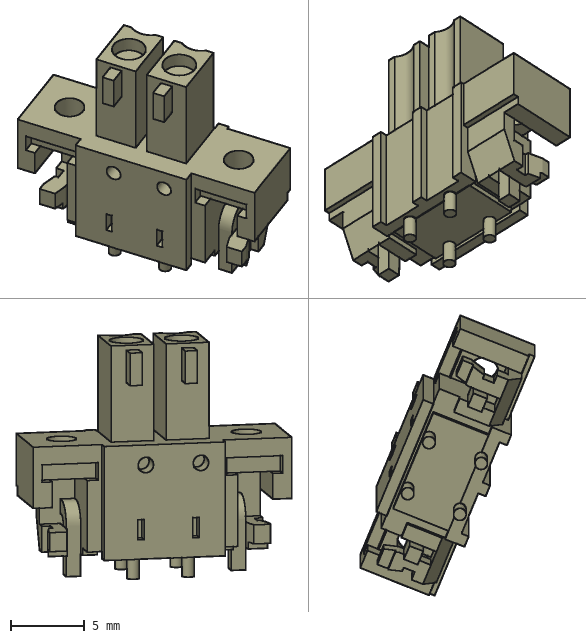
import cadquery as cq
import math


POLE_PITCH = 3.82
POLE_XS = (-POLE_PITCH / 2, POLE_PITCH / 2)

HOUSING_TOP = 7.85
CORE_HALF_WIDTH = 4.2
CORE_FRONT = -3.51
CORE_BACK = 2.94
FLANGE_HALF_LENGTH = 8.96
FLANGE_FRONT = -2.75
FLANGE_BACK = 2.7
FLANGE_UNDERSIDE = 3.64

RECESS_TOP = 0.48
PAD_UNDERSIDE = 0.05
PAD_FRONT = -2.53
PAD_BACK = 1.52
PAD_HALF_WIDTH = 3.58

TOWER_TOP = 14.46
TOWER_WIDTH = 2.97
TOWER_FRONT = -1.95
TOWER_BACK = 2.22
BORE_DIAMETER = 2.3
BORE_DEPTH = 1.0
GROOVE_RADIUS = 1.45
GROOVE_DEPTH = 0.32
LUG_WIDTH = 0.85
LUG_LENGTH = 1.2
LUG_TOP = 14.14
LUG_HEIGHT = 2.24

BACK_SLOT_WIDTH = 3.01
BACK_SLOT_FLOOR = 2.4
PROBE_DIAMETER = 1.05
PROBE_DEPTH = 1.43
PROBE_Z = 6.47
PROBE_OFFSET = 0.6
WINDOW_WIDTH = 0.43
WINDOW_BOTTOM = 1.35
WINDOW_HEIGHT = 1.38
WINDOW_DEPTH = FLANGE_FRONT - CORE_FRONT
WINDOW_OFFSET = 0.25

BACK_STEP_Y = 2.3
BACK_STEP_Z = 4.26
SLOPE_TOP = 2.19
CAVITY_BACK = 1.3
CAVITY_INNER = 5.21
CAVITY_OUTER = 7.65
NUT_SLOT_INNER = 4.46
NUT_SLOT_OUTER = 8.33
NUT_SLOT_BOTTOM = 5.41
NUT_SLOT_HEIGHT = 1.2
NUT_SLOT_DEPTH = 0.82
SCREW_X = (NUT_SLOT_INNER + NUT_SLOT_OUTER) / 2
SCREW_HOLE_DIAMETER = 2.0

CLIP_SIZE = 1.0
CLIP_TOP = 3.48
CLIP_LEG_FRONT = -0.66
CLIP_BEND_RADIUS = 1.5
CLIP_INNER_X = CAVITY_INNER
CLIP_OUTER_X = CLIP_INNER_X + CLIP_SIZE

GUIDE_TOP = 1.8
GUIDE_DENT_X = 7.08
GUIDE_DENT_BACK = 0.48
GUIDE_DENT_FRONT = -0.32
GUIDE_STEP_X = 7.35
GUIDE_TIP_BACK = -1.42
GUIDE_TIP_FRONT = -2.02
GUIDE_TIP_INNER = 6.49
GUIDE_BEND_Y = -1.04
GUIDE_CUT_Y = -1.25

PIN_DIAMETER = 0.85
PIN_END = -1.55
PIN_YS = (-2.15, 1.67)


def box(x_range, y_range, z_range):
    """Box between two limits on each axis, given in either order."""
    sides = [abs(b - a) for a, b in (x_range, y_range, z_range)]
    corner = [min(pair) for pair in (x_range, y_range, z_range)]
    return cq.Workplane("XY").box(*sides, centered=False).translate(tuple(corner))


def front_hole(x, z, diameter, depth):
    """Round cutter going straight back from the front face of the core."""
    circle = cq.Workplane("XZ", origin=(x, CORE_FRONT, z)).circle(diameter / 2)
    return circle.extrude(-depth)


def make_core():
    """Middle block, with a raised underside around the pad that carries the pins."""
    x_range = (-CORE_HALF_WIDTH, CORE_HALF_WIDTH)
    core = box(x_range, (CORE_FRONT, CORE_BACK), (0, HOUSING_TOP))
    core = core.cut(box(x_range, (FLANGE_FRONT, PAD_BACK), (0, RECESS_TOP)))
    pad_x = (-PAD_HALF_WIDTH, PAD_HALF_WIDTH)
    return core.union(box(pad_x, (PAD_FRONT, PAD_BACK), (PAD_UNDERSIDE, RECESS_TOP)))


def cut_pole_openings(core, x):
    """Back slot, probe hole and window belonging to one pole."""
    slot_x = (x - BACK_SLOT_WIDTH / 2, x + BACK_SLOT_WIDTH / 2)
    core = core.cut(box(slot_x, (BACK_SLOT_FLOOR, CORE_BACK), (0, HOUSING_TOP)))
    core = core.cut(front_hole(x + PROBE_OFFSET, PROBE_Z, PROBE_DIAMETER, PROBE_DEPTH))
    window_mid = x + WINDOW_OFFSET
    window = box(
        (window_mid - WINDOW_WIDTH / 2, window_mid + WINDOW_WIDTH / 2),
        (CORE_FRONT, CORE_FRONT + WINDOW_DEPTH),
        (WINDOW_BOTTOM, WINDOW_BOTTOM + WINDOW_HEIGHT),
    )
    return core.cut(window)


def make_tower(x):
    """Tower with a blind bore on top, a shallow groove down its back and a front lug."""
    tower_x = (x - TOWER_WIDTH / 2, x + TOWER_WIDTH / 2)
    tower = box(tower_x, (TOWER_FRONT, TOWER_BACK), (HOUSING_TOP, TOWER_TOP))
    bore = cq.Workplane("XY", origin=(x, 0, TOWER_TOP)).circle(BORE_DIAMETER / 2)
    tower = tower.cut(bore.extrude(-BORE_DEPTH))
    groove_y = TOWER_BACK - GROOVE_DEPTH + GROOVE_RADIUS
    groove = cq.Workplane("XY", origin=(x, groove_y, HOUSING_TOP)).circle(GROOVE_RADIUS)
    tower = tower.cut(groove.extrude(TOWER_TOP - HOUSING_TOP))
    lug_x = (x - LUG_WIDTH / 2, x + LUG_WIDTH / 2)
    lug_y = (TOWER_FRONT - LUG_LENGTH, TOWER_FRONT)
    return tower.union(box(lug_x, lug_y, (LUG_TOP - LUG_HEIGHT, LUG_TOP)))


def make_guide():
    """Cranked wall on the outer side of the clip, cut back under its tip."""
    outline = [
        (CAVITY_OUTER, CAVITY_BACK),
        (CAVITY_OUTER, GUIDE_DENT_BACK),
        (GUIDE_DENT_X, GUIDE_DENT_BACK),
        (GUIDE_DENT_X, GUIDE_DENT_FRONT),
        (GUIDE_STEP_X, GUIDE_DENT_FRONT),
        (CAVITY_OUTER, GUIDE_TIP_BACK),
        (CAVITY_OUTER, GUIDE_TIP_FRONT),
        (GUIDE_TIP_INNER, GUIDE_TIP_FRONT),
        (CLIP_OUTER_X, GUIDE_BEND_Y),
        (CLIP_OUTER_X, CAVITY_BACK),
    ]
    return cq.Workplane("XY").polyline(outline).close().extrude(GUIDE_TOP)


def make_flange():
    """Flange on the +X side: screw hole, nut slot, clip cavity and guide."""
    profile = [
        (FLANGE_FRONT, 0),
        (FLANGE_FRONT, HOUSING_TOP),
        (FLANGE_BACK, HOUSING_TOP),
        (FLANGE_BACK, BACK_STEP_Z),
        (BACK_STEP_Y, BACK_STEP_Z),
        (BACK_STEP_Y, SLOPE_TOP),
        (CAVITY_BACK, 0),
    ]
    side = cq.Workplane("YZ", origin=(CORE_HALF_WIDTH, 0, 0)).polyline(profile).close()
    flange = side.extrude(FLANGE_HALF_LENGTH - CORE_HALF_WIDTH)

    overhang_x = (CAVITY_OUTER, FLANGE_HALF_LENGTH)
    flange = flange.cut(box(overhang_x, (FLANGE_FRONT, FLANGE_BACK), (0, FLANGE_UNDERSIDE)))

    cavity_x = (CAVITY_INNER, CAVITY_OUTER)
    flange = flange.cut(box(cavity_x, (FLANGE_FRONT, CAVITY_BACK), (0, NUT_SLOT_BOTTOM)))

    nut_slot = box(
        (NUT_SLOT_INNER, NUT_SLOT_OUTER),
        (FLANGE_FRONT, FLANGE_FRONT + NUT_SLOT_DEPTH),
        (NUT_SLOT_BOTTOM, NUT_SLOT_BOTTOM + NUT_SLOT_HEIGHT),
    )
    flange = flange.cut(nut_slot)

    screw_hole = cq.Workplane("XY", origin=(SCREW_X, 0, NUT_SLOT_BOTTOM))
    screw_hole = screw_hole.circle(SCREW_HOLE_DIAMETER / 2)
    flange = flange.cut(screw_hole.extrude(HOUSING_TOP - NUT_SLOT_BOTTOM))

    flange = flange.union(make_guide())
    undercut_x = (CORE_HALF_WIDTH, FLANGE_HALF_LENGTH)
    return flange.cut(box(undercut_x, (FLANGE_FRONT, GUIDE_CUT_Y), (0, RECESS_TOP)))


def make_clip():
    """Board clip on the +X side: flat from the cavity's back wall, then down past the board."""
    bend_centre_y = CLIP_LEG_FRONT + CLIP_BEND_RADIUS
    bend_centre_z = CLIP_TOP - CLIP_BEND_RADIUS
    inner_radius = CLIP_BEND_RADIUS - CLIP_SIZE
    leg_back = CLIP_LEG_FRONT + CLIP_SIZE
    flat_underside = CLIP_TOP - CLIP_SIZE
    diagonal = math.sqrt(0.5)

    def bend_middle(radius):
        return (bend_centre_y - radius * diagonal, bend_centre_z + radius * diagonal)

    strip = (
        cq.Workplane("YZ", origin=(CLIP_INNER_X, 0, 0))
        .moveTo(CAVITY_BACK, CLIP_TOP)
        .lineTo(bend_centre_y, CLIP_TOP)
        .threePointArc(bend_middle(CLIP_BEND_RADIUS), (CLIP_LEG_FRONT, bend_centre_z))
        .lineTo(CLIP_LEG_FRONT, PIN_END)
        .lineTo(leg_back, PIN_END)
        .lineTo(leg_back, bend_centre_z)
        .threePointArc(bend_middle(inner_radius), (bend_centre_y, flat_underside))
        .lineTo(CAVITY_BACK, flat_underside)
        .close()
    )
    return strip.extrude(CLIP_SIZE)


def make_pin(x, y):
    """Round solder pin reaching from the pad down past the board."""
    circle = cq.Workplane("XY", origin=(x, y, PIN_END)).circle(PIN_DIAMETER / 2)
    return circle.extrude(PAD_UNDERSIDE - PIN_END)


pins = [make_pin(x, y) for x in POLE_XS for y in PIN_YS]
right_clip = make_clip()
clips = [right_clip, right_clip.mirror("YZ")]

right_flange = make_flange()
housing = make_core().union(right_flange).union(right_flange.mirror("YZ"))
for pole_x in POLE_XS:
    housing = cut_pole_openings(housing, pole_x)
    housing = housing.union(make_tower(pole_x))
for pin in pins:
    housing = housing.cut(pin)

result = cq.Compound.makeCompound(
    [housing.val(), *[pin.val() for pin in pins], *[clip.val() for clip in clips]]
)